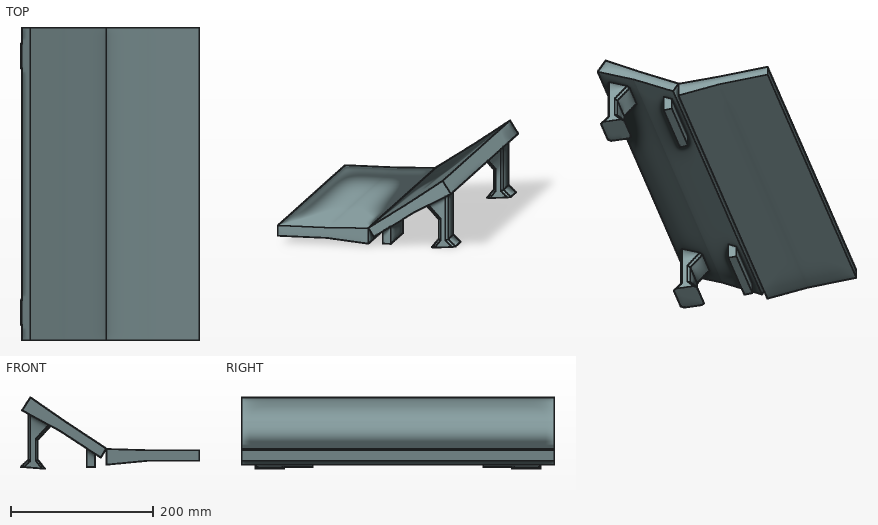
import cadquery as cq

LENGTH = 440.0

BOARD_TIP_TOP = (13.5, 100.8)
BOARD_TOP_KNEE = (62.5, 67.0)
JOINT_X = 120.5
BOARD_JOINT_Z = 28.5
BOARD_HEEL = (112.5, 16.0)
BOARD_UNDER_KNEE = (54.5, 53.5)
BOARD_TIP_UNDER = (1.8, 82.5)

PANEL_END_X = 251.2
PANEL_KNEE_X = 180.5
PANEL_JOINT_TOP = 28.0
PANEL_JOINT_BOTTOM = 5.5
PANEL_TOP = 26.5
PANEL_BOTTOM = 11.5

LEG_WIDTH = 41.5
LEG_INSET = 19.0
LEG_FRONT_X = 10.5
LEG_BACK_X = 24.0
ANKLE_Z = 12.8
BRACKET_Z = 41.0
BRACKET_TOP_X = 42.2
TOE = (0.0, 2.5)
HEEL = (34.5, 0.0)
LEG_CHAMFER_X = 3.5
LEG_CHAMFER_Y = 3.0

BLOCK_FRONT_X = 93.0
BLOCK_BACK_X = 104.5
BLOCK_BOTTOM = 2.5
BLOCK_INSET = 20.2
BLOCK_INNER_INSET = 100.5


def prism(points, y_start, y_end):
    """Extrude an XZ outline from y_start to y_end."""
    plane = cq.Workplane("XZ", origin=(0, y_end, 0))
    return plane.polyline(points).close().extrude(y_end - y_start)


def height_on_line(x, start, end):
    """Z at x on the straight line through two XZ points."""
    slope = (end[1] - start[1]) / (end[0] - start[0])
    return start[1] + slope * (x - start[0])


def make_board():
    outline = [
        BOARD_TIP_TOP,
        BOARD_TOP_KNEE,
        (JOINT_X, BOARD_JOINT_Z),
        BOARD_HEEL,
        BOARD_UNDER_KNEE,
        BOARD_TIP_UNDER,
    ]
    return prism(outline, -LENGTH / 2, LENGTH / 2)


def make_panel():
    outline = [
        (JOINT_X, PANEL_JOINT_TOP),
        (PANEL_KNEE_X, PANEL_TOP),
        (PANEL_END_X, PANEL_TOP),
        (PANEL_END_X, PANEL_BOTTOM),
        (PANEL_KNEE_X, PANEL_BOTTOM),
        (JOINT_X, PANEL_JOINT_BOTTOM),
    ]
    return prism(outline, -LENGTH / 2, LENGTH / 2)


def chamfer_leg_sides(leg):
    """Bevel the front and back outline on both side faces, leaving the sole and top sharp."""
    solid = leg.val()
    for side in ("<Y", ">Y"):
        side_face = cq.Workplane(solid).faces(side)
        edges = side_face.edges("not(<Z or >Z)").vals()
        solid = solid.chamfer(LEG_CHAMFER_X, LEG_CHAMFER_Y, edges)
    return cq.Workplane(solid)


def make_leg(side):
    """Leg at the -Y (side = -1) or +Y (side = 1) end, cut to the slope of the board."""
    under = (BOARD_TIP_UNDER, BOARD_UNDER_KNEE)
    outline = [
        TOE,
        (LEG_FRONT_X, ANKLE_Z),
        (LEG_FRONT_X, height_on_line(LEG_FRONT_X, *under)),
        (BRACKET_TOP_X, height_on_line(BRACKET_TOP_X, *under)),
        (LEG_BACK_X, BRACKET_Z),
        (LEG_BACK_X, ANKLE_Z),
        HEEL,
    ]
    middle = side * (LENGTH / 2 - LEG_INSET - LEG_WIDTH / 2)
    leg = prism(outline, middle - LEG_WIDTH / 2, middle + LEG_WIDTH / 2)
    return chamfer_leg_sides(leg)


def make_block(side):
    """Block under the board, its top cut to the slope of the underside."""
    under = (BOARD_UNDER_KNEE, BOARD_HEEL)
    outline = [
        (BLOCK_FRONT_X, BLOCK_BOTTOM),
        (BLOCK_FRONT_X, height_on_line(BLOCK_FRONT_X, *under)),
        (BLOCK_BACK_X, height_on_line(BLOCK_BACK_X, *under)),
        (BLOCK_BACK_X, BLOCK_BOTTOM),
    ]
    length = BLOCK_INNER_INSET - BLOCK_INSET
    middle = side * (LENGTH / 2 - BLOCK_INSET - length / 2)
    return prism(outline, middle - length / 2, middle + length / 2)


board = make_board()
panel = make_panel()
legs = [make_leg(side) for side in (-1, 1)]
blocks = [make_block(side) for side in (-1, 1)]

result = cq.Compound.makeCompound(
    [board.val(), panel.val()]
    + [leg.val() for leg in legs]
    + [block.val() for block in blocks]
)